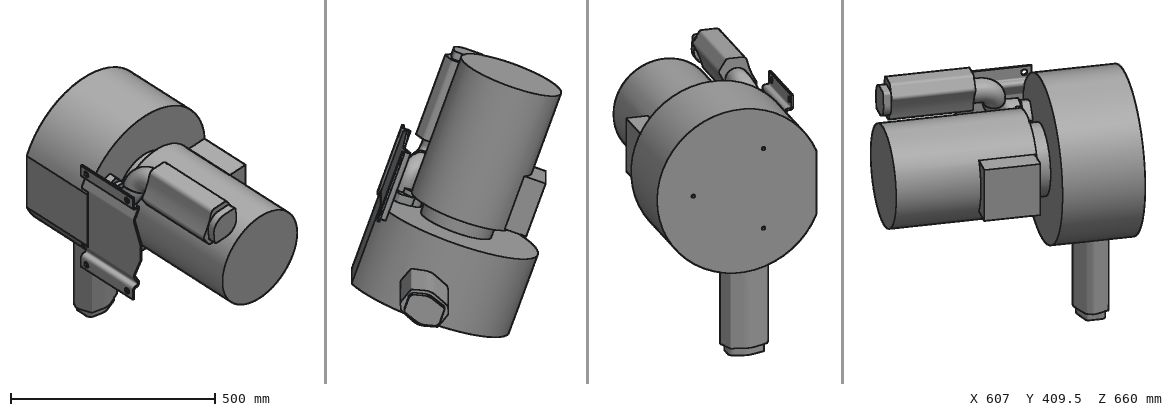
import cadquery as cq
import math


housing_radius = 213.0
housing_length = 208.5
foot_face_y = -196.5
screw_hole_diameter = 8.5
screw_hole_depth = 13
screw_circle_radius = 120.0

neck_diameter = 183.5
motor_diameter = 261.0
motor_start_x = 249.0
motor_end_x = 607
box_start_x = 253.0
box_length = 141.0
box_outer_y = 166.0
box_half_height = 69.0

sheet = 5.0
inner_bend = 4.0
outer_bend = inner_bend + sheet
bracket_start_x = 186.0
bracket_end_x = 365.0
web_face_y = -194.0
web_half_height = 92.0
fold_y = -177.0
ledge_top_z = 129.0
flange_top_z = 162.0
tab_root_half_height = web_half_height - sheet
tab_tip_x = 387.0
tab_tip_half_height = 27.0
foot_hole_diameter = 15.0
foot_hole_x = (204.5, 344.5)
foot_hole_z = 145

side_center_y = -110.0
side_center_z = 156.0
side_start_x = 359.5
side_cap_start_x = 571.0
side_cap_end_x = 590.5
side_cap_center_y = -104.0
side_cap_center_z = 154.5

lower_center_x = 76.5
lower_center_y = -35.0
lower_cap_top_z = -425.0
part_bottom_z = housing_radius - 660
lower_top_z = -145

port_pipe_diameter = 52.0
port_pipe_y = -146.5
port_bend_start_x = 251
silencer_pipe_diameter = 60.0
silencer_pipe_y = -107.0
silencer_pipe_z = 152
silencer_bend_start_x = 340.5
bend_middle_x = 300.0
pipe_rise = silencer_bend_start_x - port_bend_start_x
pipe_rise_y = silencer_pipe_y - port_pipe_y
pipe_rise_z = math.sqrt(pipe_rise**2 - pipe_rise_y**2)
port_pipe_z = silencer_pipe_z - pipe_rise_z

fitting_y = -134.5
fitting_z = 59.5
fitting_length = 22.0
plug_diameter = 57.0
plug_y = -121.0
plug_length = 12.5


def bar_x(start, end, diameter, y=0.0, z=0.0):
    """Round bar along X."""
    plane = cq.Workplane("YZ", origin=(start, y, z))
    return plane.circle(diameter / 2).extrude(end - start)


def rounded_prism(plane, corners, length):
    """Prism over an outline of (a, b, radius) corners, each rounded by a tangent arc where radius > 0."""
    arcs = []
    for i, (a, b, radius) in enumerate(corners):
        corner = cq.Vector(a, b)
        before = (cq.Vector(*corners[i - 1][:2]) - corner).normalized()
        after = (cq.Vector(*corners[(i + 1) % len(corners)][:2]) - corner).normalized()
        half_angle = before.getAngle(after) / 2
        setback = radius / math.tan(half_angle)
        reach = radius / math.sin(half_angle) - radius
        middle = corner + (before + after).normalized() * reach
        arcs.append([p.toTuple()[:2] for p in (corner + before * setback, middle, corner + after * setback)])
    outline = plane.moveTo(*arcs[0][2])
    for (start, middle, end), (_, _, radius) in zip(arcs[1:] + arcs[:1], corners[1:] + corners[:1]):
        outline = outline.lineTo(*start)
        if radius > 0:
            outline = outline.threePointArc(middle, end)
    return outline.close().extrude(length)


def with_opposite(half):
    """Complete a half outline of corners by turning it half a turn about the origin."""
    return half + [(-a, -b, radius) for a, b, radius in half]


def make_housing():
    body = bar_x(0, housing_length, 2 * housing_radius)
    beyond_flat = cq.Workplane("XY").box(
        housing_length, housing_radius, 2 * housing_radius, centered=(False, False, True)
    ).translate((0, foot_face_y - housing_radius, 0))
    screw_holes = (
        cq.Workplane("YZ")
        .polarArray(screw_circle_radius, 0, 360, 3)
        .circle(screw_hole_diameter / 2)
        .extrude(screw_hole_depth)
    )
    return body.cut(beyond_flat).cut(screw_holes)


def make_motor():
    neck = bar_x(housing_length, motor_start_x, neck_diameter)
    motor = bar_x(motor_start_x, motor_end_x, motor_diameter)
    box = cq.Workplane("XY").box(
        box_length, box_outer_y, 2 * box_half_height, centered=(False, False, True)
    ).translate((box_start_x, 0, 0))
    return motor.union(neck).union(box)


def make_bracket():
    web_inner_y = web_face_y + sheet
    ledge_bottom_z = ledge_top_z - sheet
    slope = (fold_y - web_face_y) / (ledge_bottom_z - web_half_height)
    slant_shift = sheet * math.hypot(1, slope)
    fold_top = [
        (web_face_y, web_half_height, outer_bend),
        (fold_y, ledge_bottom_z, inner_bend),
        (foot_face_y, ledge_bottom_z, outer_bend),
        (foot_face_y, flange_top_z, 0),
        (foot_face_y + sheet, flange_top_z, 0),
        (foot_face_y + sheet, ledge_top_z, inner_bend),
        (fold_y + slant_shift + slope * sheet, ledge_top_z, outer_bend),
        (web_inner_y, web_half_height - (slant_shift - sheet) / slope, inner_bend),
    ]
    fold_bottom = [(y, -z, radius) for y, z, radius in reversed(fold_top)]
    strip = rounded_prism(
        cq.Workplane("YZ", origin=(bracket_start_x, 0, 0)),
        fold_top + fold_bottom,
        bracket_end_x - bracket_start_x,
    )
    tab = (
        cq.Workplane("XZ", origin=(0, web_inner_y, 0))
        .polyline([
            (bracket_end_x - sheet, tab_root_half_height),
            (bracket_end_x, tab_root_half_height),
            (tab_tip_x, tab_tip_half_height),
            (tab_tip_x, -tab_tip_half_height),
            (bracket_end_x, -tab_root_half_height),
            (bracket_end_x - sheet, -tab_root_half_height),
        ])
        .close()
        .extrude(sheet)
    )
    foot_holes = (
        cq.Workplane("XZ", origin=(0, foot_face_y + 2 * sheet, 0))
        .pushPoints([(x, z) for x in foot_hole_x for z in (-foot_hole_z, foot_hole_z)])
        .circle(foot_hole_diameter / 2)
        .extrude(3 * sheet)
    )
    return strip.union(tab).cut(foot_holes)


def make_side_silencer():
    body_half = [(30.0, 52.45, 10.0), (-21.0, 52.45, 13), (-30.5, 12.0, 181.5), (-50.0, -20, 10.0)]
    body = rounded_prism(
        cq.Workplane("YZ", origin=(side_start_x, side_center_y, side_center_z)),
        with_opposite(body_half),
        side_cap_start_x - side_start_x,
    )
    cap_half = [(36.0, 37.0, 8.0), (-42.0, 37.0, 36.0)]
    cap = rounded_prism(
        cq.Workplane("YZ", origin=(side_cap_start_x, side_cap_center_y, side_cap_center_z)),
        with_opposite(cap_half),
        side_cap_end_x - side_cap_start_x,
    )
    return body.union(cap)


def make_lower_silencer():
    body_half = [(-46, 0, 46), (-25.0, -51.5, 13), (-6.5, -61.0, 13), (33.5, -46, 2.0)]
    body = rounded_prism(
        cq.Workplane("XY", origin=(lower_center_x, lower_center_y, lower_cap_top_z)),
        with_opposite(body_half),
        lower_top_z - lower_cap_top_z,
    )
    cap_half = [(-20.5, -46, 6.5), (26.0, -46, 14.5), (37.0, -2.0, 39.5)]
    cap = rounded_prism(
        cq.Workplane("XY", origin=(lower_center_x, lower_center_y, part_bottom_z)),
        with_opposite(cap_half),
        lower_cap_top_z - part_bottom_z,
    )
    return body.union(cap)


def make_elbow(start_x, y, z, diameter, toward):
    """Quarter bend from an X pipe at (start_x, y, z) to the YZ unit direction at bend_middle_x."""
    toward_y, toward_z = toward
    radius = abs(bend_middle_x - start_x)
    corner = radius * (1 - math.sqrt(0.5))
    mid_x = start_x + math.copysign(radius * math.sqrt(0.5), bend_middle_x - start_x)
    path = cq.Workplane(cq.Edge.makeThreePointArc(
        cq.Vector(start_x, y, z),
        cq.Vector(mid_x, y + corner * toward_y, z + corner * toward_z),
        cq.Vector(bend_middle_x, y + radius * toward_y, z + radius * toward_z),
    ))
    return cq.Workplane("YZ", origin=(start_x, y, z)).circle(diameter / 2).sweep(path)


def make_pipe():
    up = (pipe_rise_y / pipe_rise, pipe_rise_z / pipe_rise)
    down = (-up[0], -up[1])
    port_run = bar_x(
        housing_length + fitting_length, port_bend_start_x, port_pipe_diameter, port_pipe_y, port_pipe_z
    )
    port_bend = make_elbow(port_bend_start_x, port_pipe_y, port_pipe_z, port_pipe_diameter, up)
    silencer_bend = make_elbow(
        silencer_bend_start_x, silencer_pipe_y, silencer_pipe_z, silencer_pipe_diameter, down
    )
    silencer_run = bar_x(
        silencer_bend_start_x, side_start_x, silencer_pipe_diameter, silencer_pipe_y, silencer_pipe_z
    )
    return port_run.union(port_bend).union(silencer_bend).union(silencer_run)


def make_fitting():
    body_half = [(17.0, 43.0, 8.0), (-16.0, 33, 10.0), (-46, -6.5, 10.0)]
    body = rounded_prism(
        cq.Workplane("YZ", origin=(housing_length, fitting_y, fitting_z)),
        with_opposite(body_half),
        fitting_length,
    )
    plug_end_x = housing_length + fitting_length + plug_length
    plug = bar_x(housing_length, plug_end_x, plug_diameter, plug_y, fitting_z)
    return body.union(plug)


result = (
    make_housing()
    .union(make_motor())
    .union(make_bracket())
    .union(make_lower_silencer())
    .union(make_fitting())
    .union(make_pipe())
    .union(make_side_silencer())
)